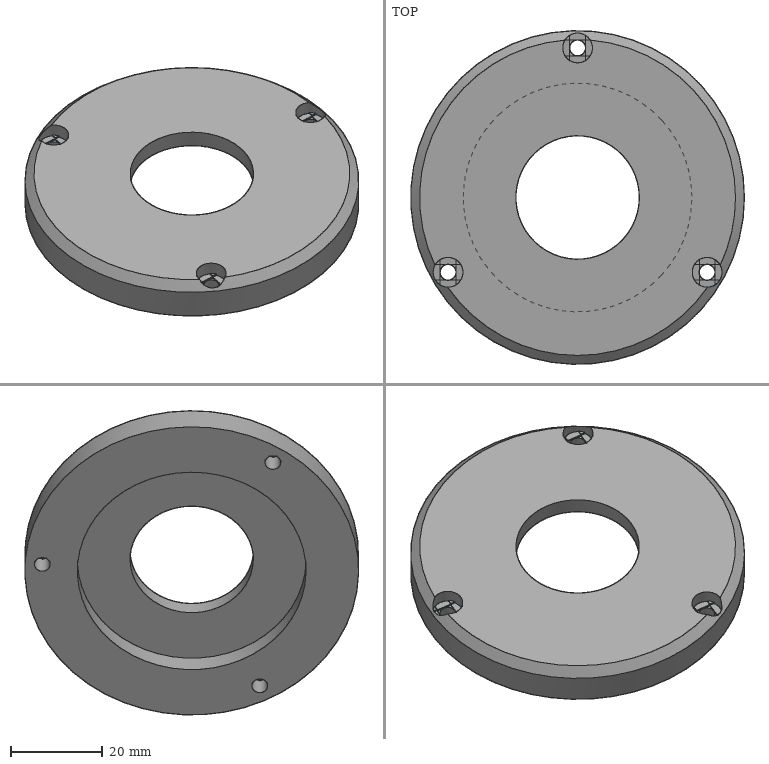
import cadquery as cq
import math

outer_diameter = 73.0
height = 9.0
edge_chamfer = 2.0
bore_diameter = 26.95

recess_diameter = 50.0
top_web = 4.0
recess_depth = height - top_web

screw_count = 3
first_screw_angle = 90.0
screw_circle_radius = 32.7
screw_diameter = 3.4
head_diameter = 6.5
head_depth = 3.0

step_depth = 0.2


def pocket_cylinder(diameter, depth):
    """Cylinder hanging down from the top face, centred on the Z axis."""
    return cq.Workplane("XY").workplane(offset=height - depth).circle(diameter / 2).extrude(depth)


def pocket_box(length_x, length_y, depth):
    """Box hanging down from the top face, centred on the Z axis."""
    return cq.Workplane("XY").workplane(offset=height - depth).rect(length_x, length_y).extrude(depth)


def floor_step(length_x, length_y, level):
    """Straight-sided step in the pocket floor, kept inside the head diameter."""
    depth = head_depth + level * step_depth
    return pocket_box(length_x, length_y, depth).intersect(pocket_cylinder(head_diameter, depth))


def screw_cutter():
    """Through hole, head pocket, two crossed slots and the square where they cross."""
    cutter = pocket_cylinder(screw_diameter, height)
    cutter = cutter.union(pocket_cylinder(head_diameter, head_depth))
    cutter = cutter.union(floor_step(head_diameter, screw_diameter, 1))
    cutter = cutter.union(floor_step(screw_diameter, head_diameter, 2))
    return cutter.union(floor_step(screw_diameter, screw_diameter, 3))


result = cq.Workplane("XY").circle(outer_diameter / 2).extrude(height)
result = result.faces(">Z").edges().chamfer(edge_chamfer)
result = result.cut(pocket_cylinder(bore_diameter, height))
result = result.cut(cq.Workplane("XY").circle(recess_diameter / 2).extrude(recess_depth))

screw_hole = screw_cutter()
for index in range(screw_count):
    angle = math.radians(first_screw_angle + index * 360.0 / screw_count)
    screw_x = screw_circle_radius * math.cos(angle)
    screw_y = screw_circle_radius * math.sin(angle)
    result = result.cut(screw_hole.translate((screw_x, screw_y, 0)))